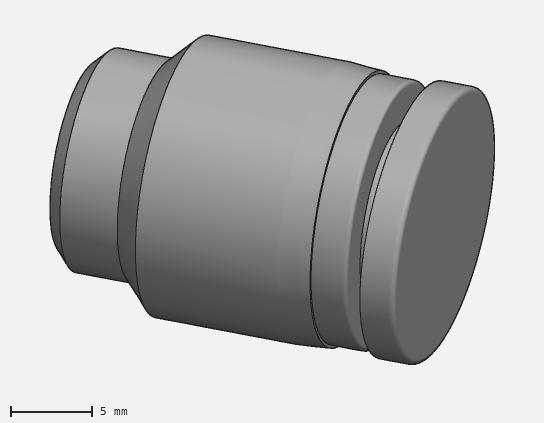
import cadquery as cq

total_length = 23.5
nose_length = 4.7
taper_start = 15.67
taper_end = 17.75
housing_end = 20.05
flange_start = 21.27

nose_radius = 14.0 / 2
body_radius = 17.6 / 2
taper_end_radius = 8.65
collar_radius = 16.9 / 2
stem_radius = 11.9 / 2

flange_width = 19.0
flange_height = 16.61

nose_chamfer = 0.99
collar_fillet = 0.25
flange_fillet = 0.33


def make_housing():
    """Closed turned housing: nose, 45 degree shoulder, body, slight taper and end collar."""
    shoulder_end = nose_length + body_radius - nose_radius
    profile = [
        (0, 0),
        (0, nose_radius - nose_chamfer),
        (nose_chamfer, nose_radius),
        (nose_length, nose_radius),
        (shoulder_end, body_radius),
        (taper_start, body_radius),
        (taper_end, taper_end_radius),
        (taper_end, collar_radius),
        (housing_end, collar_radius),
        (housing_end, 0),
    ]
    turned = cq.Workplane("XY").polyline(profile).close().revolve(360, (0, 0, 0), (1, 0, 0))
    return turned.faces(">X").edges().fillet(collar_fillet)


def make_release_button():
    """Round stem against the housing end, carrying an oval flange with a rounded outer edge."""
    flange = (
        cq.Workplane("YZ", origin=(flange_start, 0, 0))
        .ellipse(flange_width / 2, flange_height / 2)
        .extrude(total_length - flange_start)
        .faces(">X").edges().fillet(flange_fillet)
    )
    stem = (
        cq.Workplane("YZ", origin=(housing_end, 0, 0))
        .circle(stem_radius)
        .extrude(flange_start - housing_end)
    )
    return flange.union(stem)


housing = make_housing()
release_button = make_release_button()

result = cq.Compound.makeCompound([housing.val(), release_button.val()])